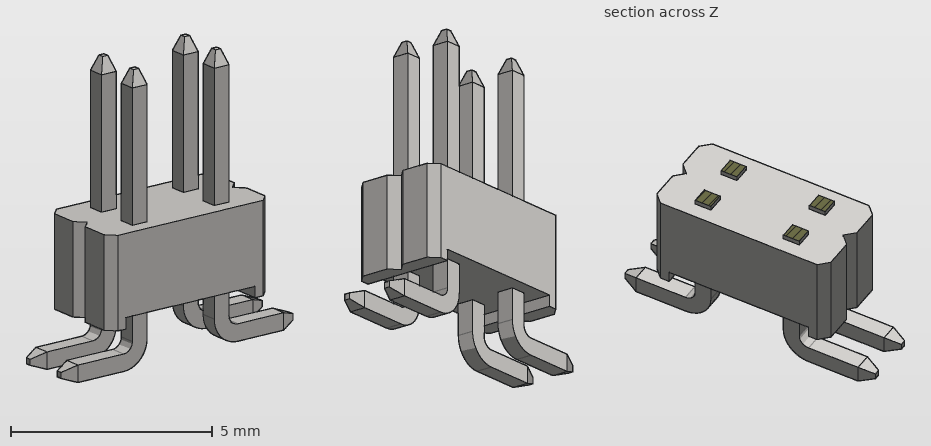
import cadquery as cq

pitch_x = 1.27
pitch_y = 2.54
columns = 2

body_length = 5.0
body_height = 2.5
corner_chamfer = 0.25
foot_length = 0.5
foot_height = 0.3

pin_width = 0.46
tip_width = 0.16
tip_length = 0.41
pin_above_body = 4.0
bend_inner_radius = 0.27
leg_span = 7.2
front_leg_drop = 1.27
rear_leg_drop = 1.2

body_width = columns * pitch_x
body_bottom = front_leg_drop
body_top = body_bottom + body_height
pin_top = body_top + pin_above_body
bend_outer_radius = bend_inner_radius + pin_width


def column_x(index):
    """X centre of a pin column."""
    return (index - (columns - 1) / 2) * pitch_x


def make_body():
    """One chamfered block per column, joined side by side, with a relief across the underside."""
    body = cq.Workplane("XY")
    for index in range(columns):
        block = (
            cq.Workplane("XY")
            .box(pitch_x, body_length, body_height, centered=(True, True, False))
            .edges("|Z")
            .chamfer(corner_chamfer)
            .translate((column_x(index), 0, body_bottom))
        )
        body = body.union(block)
    relief = (
        cq.Workplane("XY")
        .box(body_width, body_length - 2 * foot_length, foot_height, centered=(True, True, False))
        .translate((0, 0, body_bottom))
    )
    return body.cut(relief)


def make_tip(plane):
    """Tapered square pin end, pointing along the plane's normal."""
    return (
        cq.Workplane(plane)
        .rect(pin_width, pin_width)
        .workplane(offset=tip_length)
        .rect(tip_width, tip_width)
        .loft(combine=True)
    )


def make_front_pin(leg_drop):
    """Bent pin centred on X = 0 in the front row, with its leg pointing toward -Y."""
    leg_bottom = body_bottom - leg_drop
    leg_top = leg_bottom + pin_width
    outer_y = -pitch_y / 2 - pin_width / 2
    inner_y = outer_y + pin_width
    shank_top = pin_top - tip_length
    leg_end = -leg_span / 2 + tip_length

    bent_bar = (
        cq.Workplane("YZ")
        .moveTo(inner_y, shank_top)
        .lineTo(outer_y, shank_top)
        .lineTo(outer_y, leg_top + bend_inner_radius)
        .radiusArc((outer_y - bend_inner_radius, leg_top), bend_inner_radius)
        .lineTo(leg_end, leg_top)
        .lineTo(leg_end, leg_bottom)
        .lineTo(inner_y - bend_outer_radius, leg_bottom)
        .radiusArc((inner_y, leg_bottom + bend_outer_radius), -bend_outer_radius)
        .close()
        .extrude(pin_width / 2, both=True)
    )
    top_tip = make_tip(cq.Plane((0, -pitch_y / 2, shank_top), (1, 0, 0), (0, 0, 1)))
    leg_tip = make_tip(cq.Plane((0, leg_end, leg_bottom + pin_width / 2), (1, 0, 0), (0, -1, 0)))
    return bent_bar.union(top_tip).union(leg_tip)


front_pin = make_front_pin(front_leg_drop)
rear_pin = make_front_pin(rear_leg_drop).mirror("XZ")

result = make_body()
for column in range(columns):
    for pin in (front_pin, rear_pin):
        result = result.union(pin.translate((column_x(column), 0, 0)))